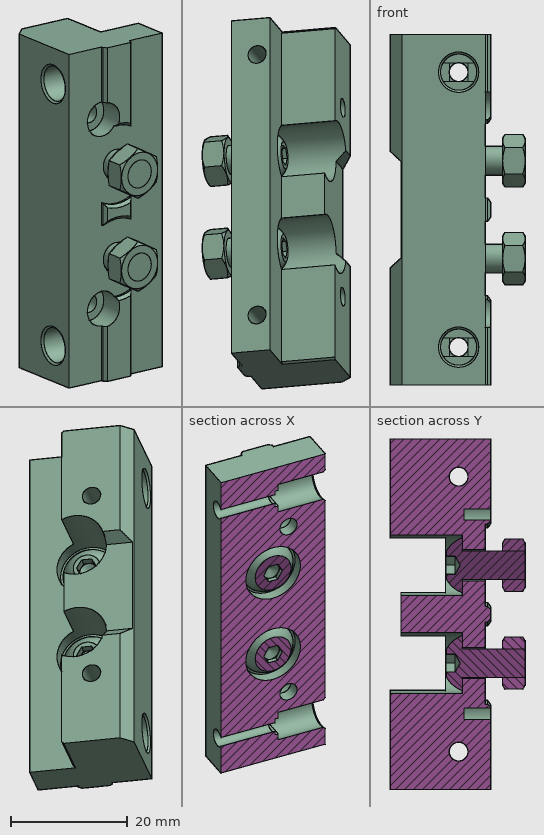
import cadquery as cq
import math

height = 60.0
depth = 19.9
block_width = 16.25
step_x = 9.4
step_y = 2.3
corner_chamfer = 2.05
step_edge_chamfer = 0.35

relief_depth = 1.8
relief_floor_length = 16.55
relief_mouth_length = 19.9

screw_spacing = 16.75
screw_z_positions = (-screw_spacing / 2, screw_spacing / 2)
screw_diameter = 5.0
screw_hole_diameter = 5.3
head_diameter = 9.5
head_height = 2.75
head_top_diameter = 4.7
head_recess_diameter = 10.3
head_seat_x = 12.3
socket_across_flats = 3.0
socket_depth = 1.55
socket_tip_depth = 0.85

nut_across_flats = 7.8
nut_thickness = 3.9
nut_end_x = 23.1
nut_chamfer_diameter = 7.7
nut_chamfer_length = 0.4

rib_width = 6.0
rib_height = 0.95
rib_chamfer = 0.55
nut_clearance_diameter = 14.05

small_hole_diameter = 3.2
counterbore_diameter = 6.2
front_hole_x = 11.7
front_hole_spacing = 47.05
front_counterbore_depth = 9.0
front_counterbore_chamfer = 0.35
bridge_step = 0.3

cross_hole_y = -2.95
cross_hole_spacing = 34.1
cross_counterbore_depth = 3.6


def x_cylinder(diameter, x_start, x_end, y, z):
    """Solid cylinder along X."""
    return (
        cq.Workplane("YZ", origin=(x_start, y, z))
        .circle(diameter / 2)
        .extrude(x_end - x_start)
    )


def make_bar():
    """L-shaped bar with a chamfered front edge and step."""
    front_y = -depth / 2
    bar = (
        cq.Workplane("XY", origin=(0, 0, -height / 2))
        .moveTo(corner_chamfer, front_y)
        .lineTo(block_width, front_y)
        .lineTo(block_width, depth / 2)
        .lineTo(step_x, depth / 2)
        .lineTo(step_x, step_y)
        .lineTo(0, step_y)
        .lineTo(0, front_y + corner_chamfer)
        .close()
        .extrude(height)
    )
    for end_z in (-height / 2, height / 2):
        step_edge = cq.selectors.NearestToPointSelector((step_x / 2, step_y, end_z))
        bar = bar.edges(step_edge).chamfer(step_edge_chamfer)
    return bar


def make_rib():
    """Rib along the right face, chamfered on top except at the two ends of the block."""
    uncut_length = height + 4 * rib_chamfer
    middle = (block_width + rib_height / 2, 0, 0)
    rib = cq.Workplane("XY").box(rib_height, rib_width, uncut_length).translate(middle)
    for z in screw_z_positions:
        rib = rib.cut(x_cylinder(nut_clearance_diameter, block_width, nut_end_x, 0, z))
    trim = cq.Workplane("XY").box(rib_height, rib_width, height).translate(middle)
    return rib.faces(">X").chamfer(rib_chamfer).intersect(trim)


def make_relief():
    """Trapezoidal relief across the middle of the left face."""
    half_floor = relief_floor_length / 2
    half_mouth = relief_mouth_length / 2
    return (
        cq.Workplane("XZ", origin=(0, depth / 2, 0))
        .moveTo(0, -half_mouth)
        .lineTo(relief_depth, -half_floor)
        .lineTo(relief_depth, half_floor)
        .lineTo(0, half_mouth)
        .close()
        .extrude(depth)
    )


def make_front_hole(z):
    """Counterbored hole along Y whose floor steps from a slot to a square to the round hole."""
    floor_y = -depth / 2 + front_counterbore_depth
    into_part = cq.Workplane("XZ", origin=(front_hole_x, -depth / 2, z))
    hole = into_part.circle(small_hole_diameter / 2).extrude(-depth)
    counterbore = into_part.circle(counterbore_diameter / 2).extrude(-front_counterbore_depth)
    mouth = (
        into_part.circle(counterbore_diameter / 2 + front_counterbore_chamfer)
        .workplane(offset=-front_counterbore_chamfer)
        .circle(counterbore_diameter / 2)
        .loft()
    )
    floor = cq.Workplane("XZ", origin=(front_hole_x, floor_y, z))
    slot = (
        floor.rect(counterbore_diameter, small_hole_diameter)
        .extrude(-bridge_step)
        .intersect(floor.circle(counterbore_diameter / 2).extrude(-bridge_step))
    )
    square = floor.rect(small_hole_diameter, small_hole_diameter).extrude(-2 * bridge_step)
    return hole.union(counterbore).union(mouth).union(slot).union(square)


def make_cross_hole(z):
    """Hole along X, counterbored from the right face."""
    rib_top = block_width + rib_height
    hole = x_cylinder(small_hole_diameter, 0, rib_top, cross_hole_y, z)
    counterbore_floor = block_width - cross_counterbore_depth
    return hole.union(x_cylinder(counterbore_diameter, counterbore_floor, rib_top, cross_hole_y, z))


def make_block():
    """Complete block with the screw recesses and all holes."""
    block = make_bar().union(make_rib()).cut(make_relief())
    for z in screw_z_positions:
        block = block.cut(x_cylinder(head_recess_diameter, 0, head_seat_x, 0, z))
        block = block.cut(x_cylinder(screw_hole_diameter, 0, block_width + rib_height, 0, z))
    for side in (-1, 1):
        block = block.cut(make_front_hole(side * front_hole_spacing / 2))
        block = block.cut(make_cross_hole(side * cross_hole_spacing / 2))
    return block


def make_screw(z):
    """Button-head screw with a hexagon socket, turned about the X axis."""
    head_radius = head_diameter / 2
    top_radius = head_top_diameter / 2
    shank_radius = screw_diameter / 2
    head_top_x = head_seat_x - head_height
    centre_offset = (head_radius**2 - top_radius**2 - head_height**2) / (2 * head_height)
    dome_radius = math.hypot(head_radius, centre_offset)
    rim_angle = math.asin(head_radius / dome_radius)
    top_angle = math.asin(top_radius / dome_radius)
    middle_angle = (rim_angle + top_angle) / 2
    dome_middle = (
        head_seat_x + centre_offset - dome_radius * math.cos(middle_angle),
        dome_radius * math.sin(middle_angle),
    )
    screw = (
        cq.Workplane("XY")
        .moveTo(head_top_x, 0)
        .lineTo(head_top_x, top_radius)
        .threePointArc(dome_middle, (head_seat_x, head_radius))
        .lineTo(head_seat_x, shank_radius)
        .lineTo(nut_end_x, shank_radius)
        .lineTo(nut_end_x, 0)
        .close()
        .revolve(360, (0, 0, 0), (1, 0, 0))
    )
    socket_corner_diameter = socket_across_flats / math.cos(math.pi / 6)
    socket = (
        cq.Workplane("YZ", origin=(head_top_x, 0, 0))
        .polygon(6, socket_corner_diameter)
        .extrude(socket_depth)
    )
    socket_tip = cq.Solid.makeCone(
        socket_across_flats / 2,
        0,
        socket_tip_depth,
        cq.Vector(head_top_x + socket_depth, 0, 0),
        cq.Vector(1, 0, 0),
    )
    return screw.cut(socket).cut(cq.Workplane(socket_tip)).translate((0, 0, z))


def make_nut(z):
    """Hexagon nut with two corners on the Z direction and chamfered corners at both ends."""
    nut_start_x = nut_end_x - nut_thickness
    corner_diameter = nut_across_flats / math.cos(math.pi / 6)
    hexagon = (
        cq.Workplane("YZ", origin=(nut_start_x, 0, 0))
        .transformed(rotate=(0, 0, 90))
        .polygon(6, corner_diameter)
        .extrude(nut_thickness)
    )
    turned_envelope = (
        x_cylinder(corner_diameter, nut_start_x, nut_end_x, 0, 0)
        .faces("<X or >X")
        .chamfer(nut_chamfer_length, (corner_diameter - nut_chamfer_diameter) / 2)
    )
    bore = x_cylinder(screw_diameter, nut_start_x, nut_end_x, 0, 0)
    return hexagon.intersect(turned_envelope).cut(bore).translate((0, 0, z))


block = make_block()
screws = [make_screw(z) for z in screw_z_positions]
nuts = [make_nut(z) for z in screw_z_positions]

result = cq.Compound.makeCompound(
    [block.val(), *[screw.val() for screw in screws], *[nut.val() for nut in nuts]]
)